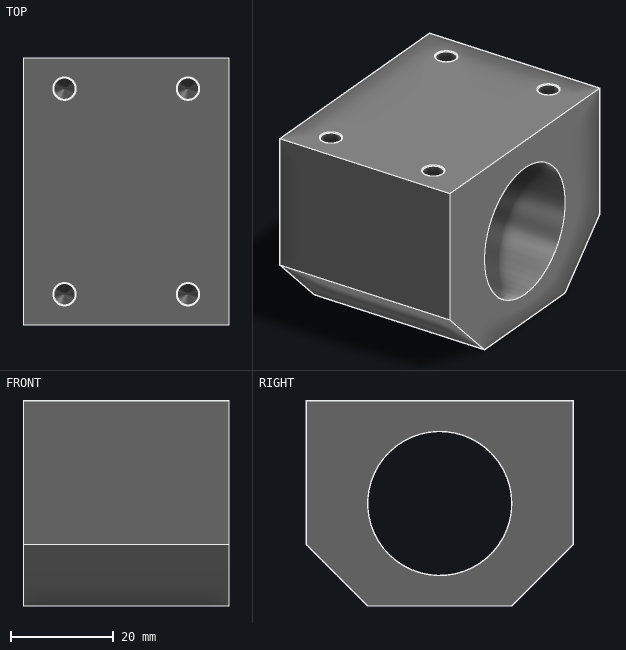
import cadquery as cq
import math

length_x = 40.0
width_y = 52.0
height_z = 40.0
bottom_chamfer = 12.0
bore_diameter = 28.0

hole_spacing_x = 24.0
hole_spacing_y = 40.0
hole_diameter = 4.15
hole_depth = 10.4
drill_point_angle = 118.0
countersink_diameter = 4.5
countersink_angle = 90.0


def cone_height(large_diameter, small_diameter, angle):
    """Height of a cone section with the given included angle."""
    return (large_diameter - small_diameter) / 2 / math.tan(math.radians(angle / 2))


def make_block():
    block = cq.Workplane("XY").box(length_x, width_y, height_z)
    block = block.edges("|X and <Z").chamfer(bottom_chamfer)
    bore = cq.Workplane("YZ").circle(bore_diameter / 2).extrude(length_x / 2, both=True)
    return block.cut(bore)


def make_hole_tool():
    """Revolved hole shape, with its mouth at Z = 0."""
    countersink_depth = cone_height(countersink_diameter, hole_diameter, countersink_angle)
    point_height = cone_height(hole_diameter, 0, drill_point_angle)
    half_profile = [
        (0, 0),
        (countersink_diameter / 2, 0),
        (hole_diameter / 2, -countersink_depth),
        (hole_diameter / 2, -hole_depth),
        (0, -hole_depth - point_height),
    ]
    return cq.Workplane("XZ").polyline(half_profile).close().revolve(360, (0, 0, 0), (0, 1, 0))


result = make_block()
hole_tool = make_hole_tool()
for x in (-hole_spacing_x / 2, hole_spacing_x / 2):
    for y in (-hole_spacing_y / 2, hole_spacing_y / 2):
        result = result.cut(hole_tool.translate((x, y, height_z / 2)))